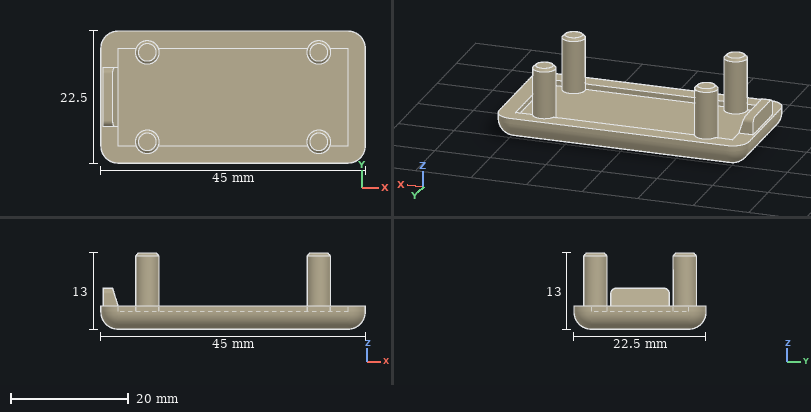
import cadquery as cq

length = 45.0
width = 22.5
thickness = 4.0
edge_radius = 2.95

rim_width = 2.95
recess_depth = 1.0

post_diameter = 4.0
post_height = 9.0
post_chamfer = 0.5
post_spacing_x = 29.15
post_spacing_y = 15.2

tab_inset = 0.4
tab_top_length = 1.6
tab_width = 10.0
tab_height = 3.0
tab_corner_radius = 1.0


def make_plate():
    plate = cq.Workplane("XY").box(length, width, thickness, centered=(True, True, False))
    plate = plate.translate((0, 0, -thickness))
    plate = plate.edges("|Z").fillet(edge_radius)
    return plate.faces("<Z").edges().fillet(edge_radius)


def make_recess():
    return cq.Workplane("XY").rect(length - 2 * rim_width, width - 2 * rim_width).extrude(-recess_depth)


def make_posts():
    return (
        cq.Workplane("XY", origin=(0, 0, -recess_depth))
        .rarray(post_spacing_x, post_spacing_y, 2, 2)
        .circle(post_diameter / 2)
        .extrude(recess_depth + post_height)
        .faces(">Z")
        .chamfer(post_chamfer)
    )


def make_tab():
    outer_x = -length / 2 + tab_inset
    inner_x = -length / 2 + rim_width
    block = (
        cq.Workplane("YZ", origin=(outer_x, 0, 0))
        .rect(tab_width, 2 * tab_height)
        .extrude(inner_x - outer_x)
        .edges("|X and >Z")
        .fillet(tab_corner_radius)
    )
    wedge = (
        cq.Workplane("XZ")
        .moveTo(outer_x, -recess_depth)
        .lineTo(inner_x, -recess_depth)
        .lineTo(inner_x, 0)
        .lineTo(outer_x + tab_top_length, tab_height)
        .lineTo(outer_x, tab_height)
        .close()
        .extrude(tab_width / 2, both=True)
    )
    return block.intersect(wedge)


result = make_plate().cut(make_recess()).union(make_posts()).union(make_tab())